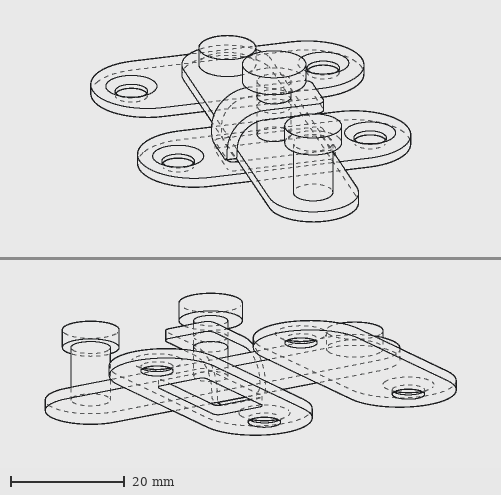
import cadquery as cq

plate_width = 20.0
plate_length = 49.1
plate_thickness = 1.75
hinge_x = plate_width / 2
keeper_x = 40.0
screw_offset = 17.5
screw_diameter = 5.7
countersink_diameter = 9.0
countersink_angle = 120

bar_width = 16.0
bar_thickness = 2.0
bar_end_x = 73.0
handle_x = bar_end_x - bar_width / 2
bar_top = plate_thickness + bar_thickness
knob_diameter = 10.0
knob_height = 3.3
handle_shaft_diameter = 6.9
handle_shaft_height = 9.6

strap_width = 10.0
strap_thickness = 1.8
strap_front = -10.0
strap_back = bar_width / 2
strap_top = 11.0
strap_bend_radius = 6.9
strap_corner_radius = 1.5
window_back = -strap_front
strap_seat = 0.4
window_front = strap_front + strap_seat
window_corner_radius = 1.0

pin_diameter = 6.0
pin_head_diameter = 11.2
pin_head_height = 3.3
pin_top = 17.3


def make_base_plate(center_x):
    """Round-ended plate with a countersunk screw hole near each end."""
    return (
        cq.Workplane("XY")
        .center(center_x, 0)
        .slot2D(plate_length, plate_width, 90)
        .extrude(plate_thickness)
        .faces(">Z")
        .workplane(origin=(center_x, 0, plate_thickness))
        .pushPoints([(0, -screw_offset), (0, screw_offset)])
        .cskHole(screw_diameter, countersink_diameter, countersink_angle)
    )


def make_cylinder(center_x, bottom, diameter, height):
    """Upright cylinder on the centre line of the bar."""
    return (
        cq.Workplane("XY", origin=(center_x, 0, bottom))
        .circle(diameter / 2)
        .extrude(height)
    )


def make_strap():
    """Upright leg on the plate that bends back over the bar."""
    inner_radius = strap_bend_radius - strap_thickness
    bend_y = strap_front + strap_bend_radius
    bend_z = strap_top - strap_bend_radius
    strap = (
        cq.Workplane("YZ", origin=(keeper_x, 0, 0))
        .moveTo(strap_front, plate_thickness)
        .lineTo(strap_front, bend_z)
        .radiusArc((bend_y, strap_top), strap_bend_radius)
        .lineTo(strap_back, strap_top)
        .lineTo(strap_back, strap_top - strap_thickness)
        .lineTo(bend_y, strap_top - strap_thickness)
        .radiusArc((strap_front + strap_thickness, bend_z), -inner_radius)
        .lineTo(strap_front + strap_thickness, plate_thickness)
        .close()
        .extrude(strap_width / 2, both=True)
    )
    strap = strap.faces(">Y").edges("|Z").fillet(strap_corner_radius)
    strap = strap.faces("<Z").edges("|Y").fillet(strap_corner_radius)
    pin_hole = make_cylinder(keeper_x, bar_top, pin_diameter, strap_top)
    return strap.cut(pin_hole)


def make_keeper():
    """Base plate with the window and the strap, whose foot rests on the front rim of the window."""
    window = (
        cq.Workplane("XY")
        .center(keeper_x, (window_back + window_front) / 2)
        .rect(strap_width, window_back - window_front)
        .extrude(plate_thickness)
        .edges("|Z")
        .fillet(window_corner_radius)
    )
    return make_base_plate(keeper_x).cut(window).union(make_strap())


def make_bar():
    """Round-ended bar with a low pivot boss at one end and a handle at the other."""
    bar = (
        cq.Workplane("XY", origin=((hinge_x + handle_x) / 2, 0, plate_thickness))
        .slot2D(handle_x - hinge_x + bar_width, bar_width)
        .extrude(bar_thickness)
    )
    pivot_boss = make_cylinder(hinge_x, bar_top, knob_diameter, knob_height)
    handle_shaft = make_cylinder(handle_x, bar_top, handle_shaft_diameter, handle_shaft_height)
    handle_knob = make_cylinder(handle_x, bar_top + handle_shaft_height, knob_diameter, knob_height)
    return bar.union(pivot_boss).union(handle_shaft).union(handle_knob)


def make_locking_pin():
    """Headed pin that passes through the strap and rests on the bar."""
    head_bottom = pin_top - pin_head_height
    shaft = make_cylinder(keeper_x, bar_top, pin_diameter, head_bottom - bar_top)
    head = make_cylinder(keeper_x, head_bottom, pin_head_diameter, pin_head_height)
    return shaft.union(head)


hinge_plate = make_base_plate(hinge_x)
keeper = make_keeper()
bar = make_bar()
locking_pin = make_locking_pin()

result = cq.Compound.makeCompound([
    hinge_plate.val(),
    keeper.val(),
    bar.val(),
    locking_pin.val(),
])